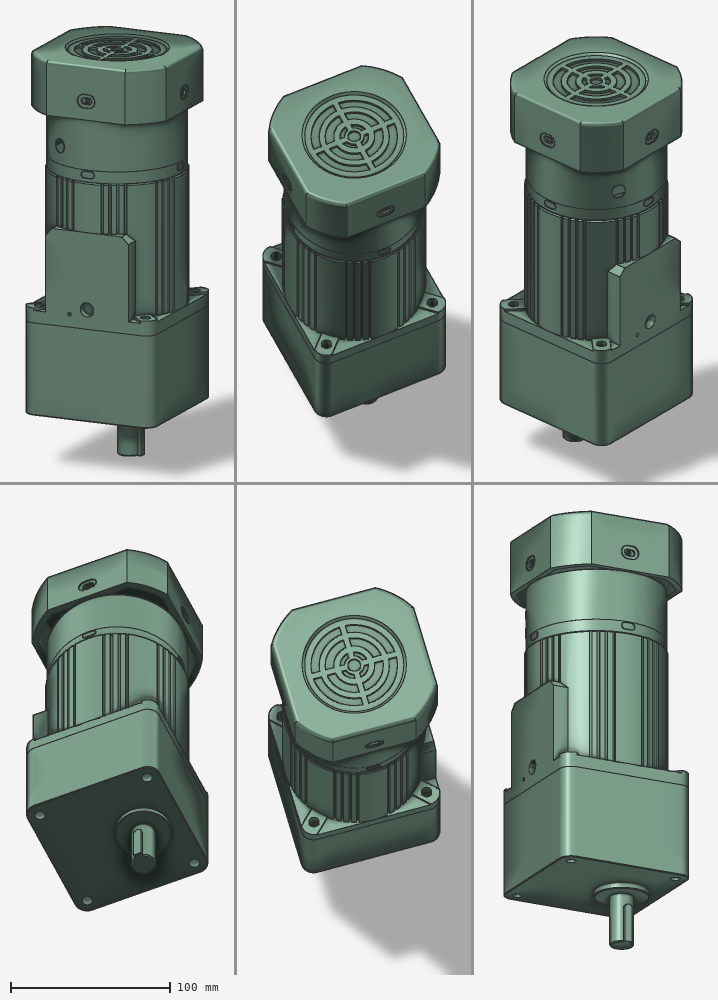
import cadquery as cq
import math


quarter_turn = 90

boss_bottom = 32.2
gearbox_bottom = 36.0
gearbox_top = 96.0
deck_top = 104.0
pad_top = 105.5
box_top = 158.7
frame_top = 191.0
spigot_top = 198.9
cap_bottom = 232.0
cap_top = 268.0

flange_width = 90.0
corner_radius = 8.0
gearbox_chamfer = 0.5
mount_hole_diameter = 6.5
mount_hole_offset = 36.7

shaft_offset = 18.0
shaft_radius = 7.5
shaft_chamfer = 0.8
boss_radius = 17.5
boss_chamfer = 0.5
key_width = 5.0
key_reach = 9.5
key_length = 25.0

frame_radius = 45.0
groove_width = 1.5
groove_depth = 1.5
frame_chamfer = 0.8
grooves_per_group = 4
first_groove_angle = 12.9
groove_pitch_angle = 6.3

box_width = 57.4
box_chamfer = 4.5
cable_hole_radius = 4.5
cable_hole_height = 108.5
cable_hole_depth = 5.4
pin_hole_radius = 1.0
pin_hole_x = -12.0
pin_hole_height = 104.3
pin_hole_depth = 2.7

shroud_radius = 44.2
shroud_wall = 0.5
spigot_radius = shroud_radius - shroud_wall
spigot_recess_radius = 28.7
spigot_recess_depth = 2.7
window_width = 9.0
window_height = 4.5
window_center_height = 196.0
lead_hole_radius = 4.5
lead_hole_height = 211.0
lead_hole_angle = -120

cap_width = 93.0
cap_corner_radius = 54.0
cap_edge_radius = 3.0
cap_wall = 4.0
cap_roof = 1.0
grill_radius = 35.5
grill_bottom = 262.6
vent_depth = 1.5
dish_top_radius = 32.7
dish_bottom_radius = 31.0
dish_depth = 1.3
vent_rings = [(6.2, 8.8), (12.9, 18.2), (22.0, 27.0)]
spoke_width = 3.8
hub_hole_radius = 4.0
screw_height = 244.1
screw_slot_width = 12.0
screw_slot_height = 8.8
screw_slot_depth = 0.8
screw_seat_width = 7.2
screw_seat_height = 4.3
screw_seat_depth = 2.1
screw_hole_diameter = 3.2


def cylinder(radius, bottom, top):
    return cq.Workplane("XY").workplane(offset=bottom).circle(radius).extrude(top - bottom)


def turned(shape, angle):
    """The shape turned about the motor axis."""
    return shape.rotate((0, 0, 0), (0, 0, 1), angle)


def rounded_square(bottom, top):
    plate = cq.Workplane("XY").workplane(offset=bottom).rect(flange_width, flange_width)
    return plate.extrude(top - bottom).edges("|Z").fillet(corner_radius)


def front_plane(distance):
    """Sketch plane facing -Y at the given distance from the motor axis."""
    return cq.Workplane("XZ", origin=(0, -distance, 0))


def mount_holes(bottom, top):
    spacing = 2 * mount_hole_offset
    points = cq.Workplane("XY").workplane(offset=bottom).rect(spacing, spacing, forConstruction=True)
    return points.vertices().circle(mount_hole_diameter / 2).extrude(top - bottom)


def make_gearbox():
    body = rounded_square(gearbox_bottom, gearbox_top).faces("<Z").chamfer(gearbox_chamfer)
    body = body.cut(mount_holes(gearbox_bottom, gearbox_top))
    boss = cylinder(boss_radius, boss_bottom, gearbox_bottom).faces("<Z").chamfer(boss_chamfer)
    shaft = cylinder(shaft_radius, 0, gearbox_bottom).faces("<Z").chamfer(shaft_chamfer)
    key = (
        cq.Workplane("YZ")
        .moveTo(-key_width / 2, 0)
        .lineTo(key_width / 2, 0)
        .lineTo(key_width / 2, key_length - key_width / 2)
        .threePointArc((0, key_length), (-key_width / 2, key_length - key_width / 2))
        .close()
        .extrude(key_reach)
    )
    output = boss.union(shaft).union(key)
    return body.union(output.translate((0, shaft_offset, 0)))


def make_motor_flange():
    flange = rounded_square(gearbox_top, deck_top)
    strip_width = corner_radius * math.sqrt(2)
    pads = rounded_square(deck_top, pad_top)
    strips = cq.Workplane("XY")
    for angle in (quarter_turn / 2, -quarter_turn / 2):
        strip = cq.Workplane("XY").workplane(offset=deck_top).rect(2 * flange_width, strip_width)
        strips = strips.add(turned(strip.extrude(pad_top - deck_top), angle))
    pads = pads.intersect(strips.combine())
    return flange.union(pads).cut(mount_holes(gearbox_top, pad_top))


def make_frame():
    frame = cylinder(frame_radius, deck_top, frame_top).faces(">Z").chamfer(frame_chamfer)
    groove = cq.Workplane("XY").workplane(offset=deck_top).center(frame_radius, 0)
    groove = groove.rect(2 * groove_depth, groove_width).extrude(frame_top - deck_top)
    for quarter in range(0, 360, quarter_turn):
        for index in range(grooves_per_group):
            offset = first_groove_angle + index * groove_pitch_angle
            frame = frame.cut(turned(groove, quarter - offset)).cut(turned(groove, quarter + offset))
    return frame


def make_terminal_box():
    box = cq.Workplane("XY").workplane(offset=deck_top).center(0, -flange_width / 4)
    box = box.rect(box_width, flange_width / 2).extrude(box_top - deck_top)
    return box.edges("|Y and >Z").chamfer(box_chamfer)


def make_motor():
    spigot = cylinder(spigot_radius, frame_top, spigot_top)
    recess = cylinder(spigot_recess_radius, spigot_top - spigot_recess_depth, spigot_top)
    face = front_plane(flange_width / 2)
    cable_hole = face.center(0, cable_hole_height).circle(cable_hole_radius).extrude(-cable_hole_depth)
    pin_hole = face.center(pin_hole_x, pin_hole_height).circle(pin_hole_radius).extrude(-pin_hole_depth)
    motor = make_motor_flange().union(make_frame()).union(make_terminal_box()).union(spigot)
    return motor.cut(recess).cut(cable_hole).cut(pin_hole)


def make_shroud():
    shroud = cylinder(shroud_radius, frame_top, cap_bottom)
    shroud = shroud.cut(cylinder(spigot_radius, frame_top, cap_bottom))
    window = front_plane(0).center(0, window_center_height)
    window = window.slot2D(window_width, window_height).extrude(cap_width / 2)
    for angle in range(0, 360, quarter_turn):
        shroud = shroud.cut(turned(window, angle))
    lead_hole = cq.Workplane("YZ").center(0, lead_hole_height).circle(lead_hole_radius)
    lead_hole = turned(lead_hole.extrude(cap_width / 2), lead_hole_angle)
    return shroud.cut(lead_hole)


def cap_block(inset, bottom, top):
    """Square block with its corners turned to a cylinder, inset from the outside of the cap."""
    width = cap_width - 2 * inset
    block = cq.Workplane("XY").workplane(offset=bottom).rect(width, width).extrude(top - bottom)
    return block.intersect(cylinder(cap_corner_radius - inset, bottom, top))


def make_cap():
    cap = cap_block(0, cap_bottom, cap_top).faces(">Z").edges().fillet(cap_edge_radius)
    cap = cap.cut(cap_block(cap_wall, cap_bottom, cap_top - cap_roof))
    cap = cap.union(cylinder(grill_radius, grill_bottom, cap_top))
    dish = cq.Workplane("XY").workplane(offset=cap_top).circle(dish_top_radius)
    dish = dish.workplane(offset=-dish_depth).circle(dish_bottom_radius).loft()
    cap = cap.cut(dish).cut(make_vents())
    for angle in range(0, 360, quarter_turn):
        cap = cap.cut(turned(make_screw_hole(), angle))
    return cap


def make_vents():
    top = cap_top - dish_depth
    bottom = top - vent_depth
    vents = cylinder(hub_hole_radius, bottom, top)
    spokes = cq.Workplane("XY").workplane(offset=bottom).rect(cap_width, spoke_width).extrude(vent_depth)
    spokes = spokes.union(turned(spokes, quarter_turn))
    for inner, outer in vent_rings:
        ring = cylinder(outer, bottom, top).cut(cylinder(inner, bottom, top))
        vents = vents.union(ring.cut(spokes))
    return vents


def make_screw_hole():
    face = front_plane(cap_width / 2).center(0, screw_height)
    slot = face.slot2D(screw_slot_width, screw_slot_height).extrude(-screw_slot_depth)
    seat = face.slot2D(screw_seat_width, screw_seat_height).extrude(-screw_seat_depth)
    hole = face.circle(screw_hole_diameter / 2).extrude(-cap_wall)
    return slot.union(seat).union(hole)


gearbox = make_gearbox()
motor = make_motor()
shroud = make_shroud()
cap = make_cap()

result = cq.Compound.makeCompound([gearbox.val(), motor.val(), shroud.val(), cap.val()])